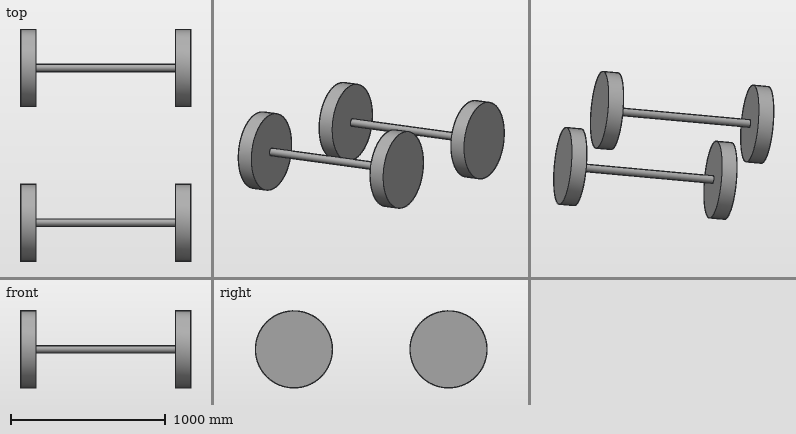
import cadquery as cq

overall_length = 1500.0
axle_length = 900.0

wheel_diameter = overall_length / 3
wheel_width = wheel_diameter / 5
axle_diameter = wheel_diameter / 10
axle_spacing = overall_length - wheel_diameter


def make_cylinder(diameter, length, x_start, y_center):
    """Solid cylinder along +X, starting at x_start."""
    return (
        cq.Workplane("YZ", origin=(x_start, y_center, 0))
        .circle(diameter / 2)
        .extrude(length)
    )


def make_axle(y_center):
    """Axle that butts against the inner faces of its two wheels."""
    return make_cylinder(axle_diameter, axle_length, -axle_length / 2, y_center)


def make_wheel(x_start, y_center):
    """Plain disc wheel."""
    return make_cylinder(wheel_diameter, wheel_width, x_start, y_center)


axles = []
wheels = []
for y_center in (-axle_spacing / 2, axle_spacing / 2):
    axles.append(make_axle(y_center))
    for x_start in (-axle_length / 2 - wheel_width, axle_length / 2):
        wheels.append(make_wheel(x_start, y_center))

result = cq.Compound.makeCompound([body.val() for body in axles + wheels])